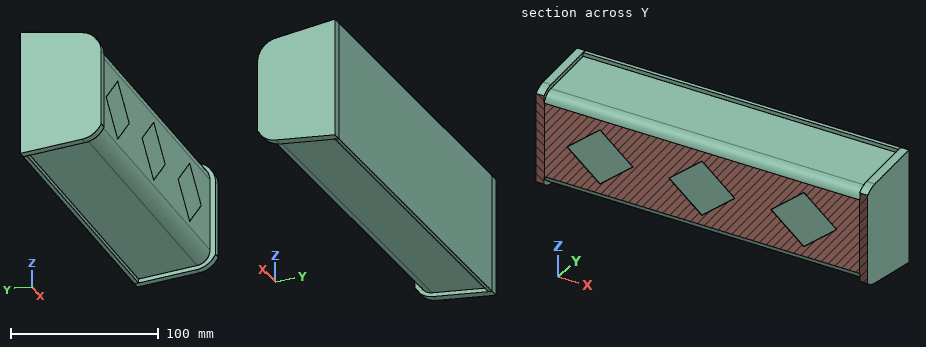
import cadquery as cq

length = 264.0
depth = 57.5
height = 88.0
side_drop = 6.9

cap_thickness = 6.5
cap_radius = 15.3
cap_lower_end = 29.0

flange_thickness = 3.0
side_inset = 3.0
front_inset = 4.0
housing_radius = 10.3

diamond_count = 3
diamond_pitch = 81.0
diamond_width = 52.0
diamond_height = 42.0
diamond_depth = 0.3
diamond_cover = 0.4

housing_length = length - 2 * cap_thickness
back_y = depth / 2
housing_front_y = front_inset - depth / 2
side_slope = side_drop / depth


def tapered_block(x_start, width, block_depth, back_height):
    """Extrude a symmetric tapered outline along X from its mounting face."""
    half_back = back_height / 2
    half_front = half_back - side_slope * block_depth
    front_y = back_y - block_depth
    return (
        cq.Workplane("YZ", origin=(x_start, 0, 0))
        .polyline([
            (back_y, -half_back),
            (back_y, half_back),
            (front_y, half_front),
            (front_y, -half_front),
        ])
        .close()
        .extrude(width)
    )


def make_end_cap(x_start):
    """End plate: the upper corner is a fillet, the lower arc meets the front at an edge."""
    half_back = height / 2
    front_y = -depth / 2
    side_angle_sine = side_slope / (1 + side_slope ** 2) ** 0.5
    arc_start_y = front_y + cap_radius * (1 - side_angle_sine)
    arc_start_z = -half_back + side_slope * (back_y - arc_start_y)
    plate = (
        cq.Workplane("YZ", origin=(x_start, 0, 0))
        .moveTo(back_y, -half_back)
        .lineTo(arc_start_y, arc_start_z)
        .tangentArcPoint((front_y, -cap_lower_end), relative=False)
        .lineTo(front_y, half_back - side_drop)
        .lineTo(back_y, half_back)
        .close()
        .extrude(cap_thickness)
    )
    upper_corner = plate.edges("|X and <Y").edges(">Z")
    return upper_corner.fillet(cap_radius)


def make_diamonds():
    """Row of thin rhombic cutters enclosed behind the skin of the housing front."""
    half_row = (diamond_count - 1) / 2
    centers = [((index - half_row) * diamond_pitch, 0) for index in range(diamond_count)]
    rhombus = (
        cq.Sketch()
        .polygon([
            (-diamond_width / 2, 0),
            (0, diamond_height / 2),
            (diamond_width / 2, 0),
            (0, -diamond_height / 2),
            (-diamond_width / 2, 0),
        ])
    )
    front_plane = cq.Workplane("XZ", origin=(0, housing_front_y + diamond_cover, 0))
    return front_plane.pushPoints(centers).placeSketch(rhombus).extrude(-diamond_depth)


def make_housing():
    """Rounded cover with a wider flange flush with the caps at the back."""
    x_start = -housing_length / 2
    cover = tapered_block(x_start, housing_length, depth - front_inset, height - 2 * side_inset)
    cover = cover.edges("|X and <Y").fillet(housing_radius)
    flange = tapered_block(x_start, housing_length, flange_thickness, height)
    return cover.union(flange).cut(make_diamonds())


housing = make_housing()
end_caps = [make_end_cap(x_start) for x_start in (-length / 2, housing_length / 2)]

result = cq.Compound.makeCompound([housing.val(), *[cap.val() for cap in end_caps]])